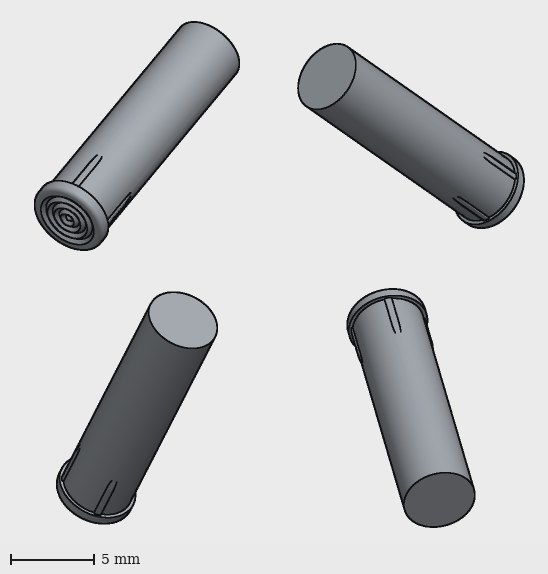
import cadquery as cq

length = 16.64
body_radius = 2.18
head_radius = 2.41
head_length = 0.78
head_round = 0.28

grooved_radius = 1.85
groove_flank_count = 8
groove_depth = 0.23

rib_count = 4
rib_height = 0.08
rib_width = 0.45
rib_edge_round = 0.1
rib_tip = 3.83
rib_ramp_length = 0.77
rib_crest_round = 1.83
rib_root_depth = 0.25

front = -length / 2
overlap_start = front + head_length / 2


def make_head():
    disc = (
        cq.Workplane("XZ", origin=(0, front + head_length, 0))
        .circle(head_radius)
        .extrude(head_length)
    )
    return disc.faces("<Y").edges().fillet(head_round)


def make_body():
    return (
        cq.Workplane("XZ", origin=(0, length / 2, 0))
        .circle(body_radius)
        .extrude(length / 2 - overlap_start)
    )


def make_grooves():
    """Revolved zigzag: flanks alternate between the face and the groove bottoms, peaking on the axis."""
    flank_width = grooved_radius / groove_flank_count
    zigzag = [
        (flank_width * i, front + groove_depth * (i % 2))
        for i in range(groove_flank_count + 1)
    ]
    return cq.Workplane("XY").polyline(zigzag).close().revolve(360, (0, 0, 0), (0, 1, 0))


def make_rib():
    """Rib on the +Z side, with a shallow ramp at its +Y end and rounded long edges."""
    ramp_slope = rib_height / rib_ramp_length
    crest = body_radius + rib_height
    root = body_radius - rib_root_depth
    crest_end = front + rib_tip - rib_ramp_length
    root_end = front + rib_tip + rib_root_depth / ramp_slope
    outline = [(overlap_start, root), (overlap_start, crest), (crest_end, crest), (root_end, root)]
    blank = (
        cq.Workplane("YZ")
        .polyline(outline)
        .close()
        .extrude(rib_width / 2, both=True)
    )
    ramp_top = cq.selectors.NearestToPointSelector((0, crest_end, crest))
    ramped = blank.edges(ramp_top).fillet(rib_crest_round)
    long_edges = ramped.faces(">Z").edges("|Y")
    return long_edges.fillet(rib_edge_round)


result = make_body().union(make_head())
rib = make_rib()
for i in range(rib_count):
    result = result.union(rib.rotate((0, 0, 0), (0, 1, 0), 360 / rib_count * i))
result = result.cut(make_grooves())